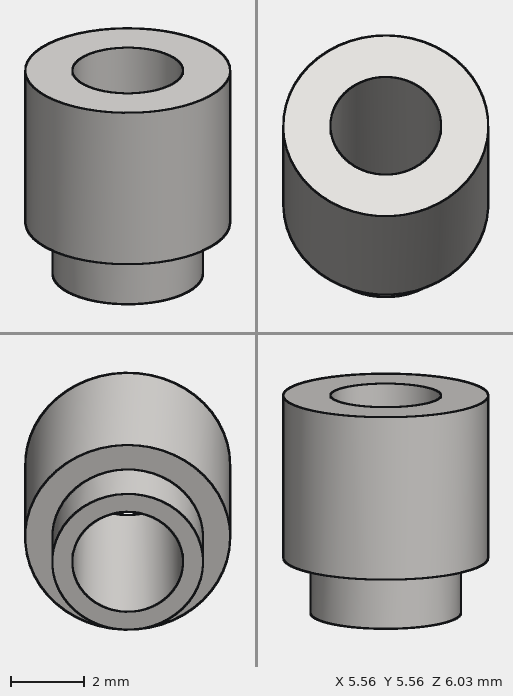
import cadquery as cq

total_height = 6.03
spigot_height = 1.525
body_diameter = 5.56
spigot_diameter = 4.09
bore_diameter = 3.0

body_height = total_height - spigot_height

spigot = cq.Workplane("XY").circle(spigot_diameter / 2).extrude(spigot_height)

body = (
    cq.Workplane("XY")
    .workplane(offset=spigot_height)
    .circle(body_diameter / 2)
    .extrude(body_height)
)

bore = cq.Workplane("XY").circle(bore_diameter / 2).extrude(total_height)

result = spigot.union(body).cut(bore)